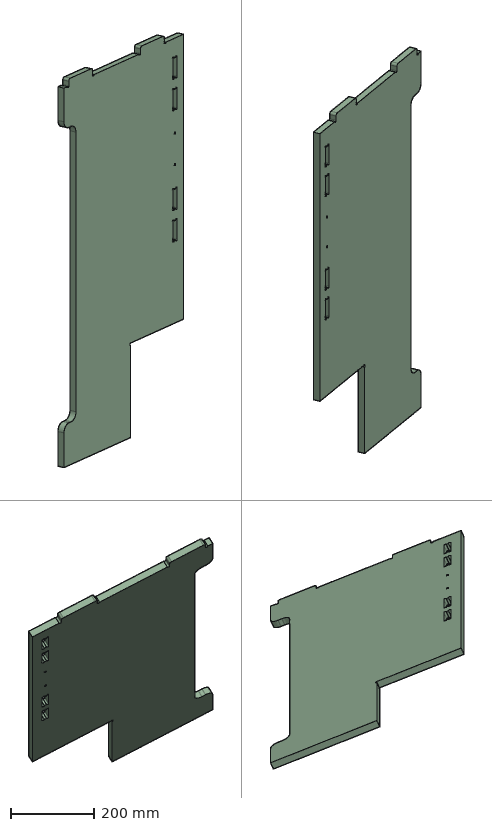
import cadquery as cq

thickness = 18.0
depth = 500.0
total_height = 982.0

tab_height = thickness
tab_length = 100.0
tab_front_edges = (20.0, 320.0)
tab_corner_radius = 6.0
shoulder_z = total_height - tab_height

notch_y = 279.0
notch_z = 240.0

recess_depth = 50.0
recess_bottom_z = 108.5
recess_top_z = 858.5
recess_radius = 20.0

hole_line_y = depth - 36.0
hole_group_z = 682.3
group_offset = 166.7
pair_spacing = 80.0
slot_length = 50.0
slot_width = thickness
hole_diameter = 5.0

relief_radius = 3.0


def pair_around(middle, spacing):
    """Two positions placed evenly about a middle."""
    return (middle - spacing / 2, middle + spacing / 2)


def cylinders(points, radius):
    """Cylinders through the sheet thickness at (y, z) points."""
    return cq.Workplane("YZ").pushPoints(points).circle(radius).extrude(thickness)


def block(y_min, z_min, y_size, z_size):
    """Block of the sheet thickness with its lower front corner at (y_min, z_min)."""
    return (
        cq.Workplane("YZ")
        .moveTo(y_min, z_min)
        .rect(y_size, z_size, centered=False)
        .extrude(thickness)
    )


def make_panel():
    """Sheet outline with the rear notch and the rounded front recess."""
    outline = [
        (0, 0),
        (notch_y, 0),
        (notch_y, notch_z),
        (depth, notch_z),
        (depth, shoulder_z),
        (0, shoulder_z),
        (0, recess_top_z),
        (recess_depth, recess_top_z),
        (recess_depth, recess_bottom_z),
        (0, recess_bottom_z),
    ]
    panel = cq.Workplane("YZ").polyline(outline).close().extrude(thickness)
    recess_corners = [(y, z) for y in (0, recess_depth) for z in (recess_bottom_z, recess_top_z)]
    for y, z in recess_corners:
        corner_edge = cq.selectors.NearestToPointSelector((thickness / 2, y, z))
        panel = panel.edges("|X").edges(corner_edge).fillet(recess_radius)
    return panel.cut(cylinders([(notch_y, notch_z - relief_radius)], relief_radius))


def add_tabs(panel):
    """Tabs with rounded top corners and a relief beside each foot."""
    for front_y in tab_front_edges:
        rear_y = front_y + tab_length
        tab = block(front_y, shoulder_z, tab_length, tab_height)
        tab = tab.edges("|X and >Z").fillet(tab_corner_radius)
        relief_points = [
            (front_y - relief_radius, shoulder_z),
            (rear_y + relief_radius, shoulder_z),
        ]
        panel = panel.union(tab).cut(cylinders(relief_points, relief_radius))
    return panel


def make_slot(middle_z):
    """Upright mortise with reliefs that lengthen its four corners."""
    slot = block(
        hole_line_y - slot_width / 2,
        middle_z - slot_length / 2,
        slot_width,
        slot_length,
    )
    relief_points = [
        (y, z)
        for y in pair_around(hole_line_y, slot_width - 2 * relief_radius)
        for z in pair_around(middle_z, slot_length)
    ]
    return slot.union(cylinders(relief_points, relief_radius))


def cut_slots(panel):
    """One pair of slots above the small holes and one pair below."""
    for group_z in pair_around(hole_group_z, 2 * group_offset):
        for middle_z in pair_around(group_z, pair_spacing):
            panel = panel.cut(make_slot(middle_z))
    return panel


def cut_holes(panel):
    """Two small round through holes between the slot pairs."""
    points = [(hole_line_y, z) for z in pair_around(hole_group_z, pair_spacing)]
    return panel.cut(cylinders(points, hole_diameter / 2))


result = cut_holes(cut_slots(add_tabs(make_panel())))